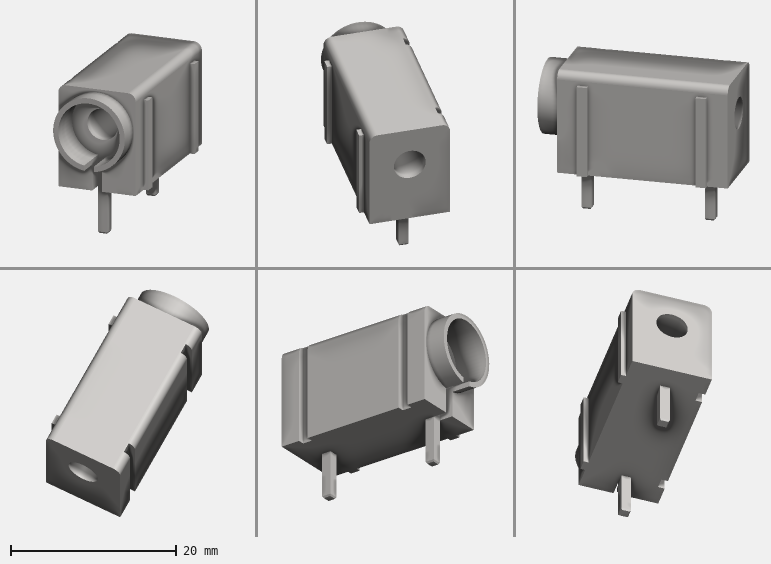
import cadquery as cq

body_width = 10.1
body_length = 21.4
body_height = 13.0
top_edge_radius = 1.0

total_length = 24
barrel_length = total_length - body_length
barrel_radius = 4.68
bore_radius = 4.0
through_hole_radius = 2.0
axis_height = body_height - body_width / 2

pin_size = 1.25
pin_length = 6
front_pin_setback = 1.85
pin_pitch = 15.48
tip_chamfer_height = 0.22
tip_chamfer_inset = 0.15
slit_width = pin_size
bore_depth = front_pin_setback

joint_end_offset = 2.6
joint_width = 1.3
groove_depth = 0.85
rail_projection = 0.6
rail_height = body_height - 1.54


def corner_box(x_size, y_size, z_size, corner):
    """Box extending in +X, +Y and +Z from its lowest corner."""
    return cq.Workplane("XY").box(x_size, y_size, z_size, centered=False).translate(corner)


def axial_cylinder(radius, start_y, end_y):
    """Cylinder along the socket axis."""
    return (
        cq.Workplane("XZ", origin=(0, start_y, axis_height))
        .circle(radius)
        .extrude(start_y - end_y)
    )


def solder_pin(setback):
    """Square pin below the housing, with a chamfered tip."""
    shank_length = pin_length - tip_chamfer_height
    tip_size = pin_size - 2 * tip_chamfer_inset
    centre_y = setback + pin_size / 2
    shank = corner_box(pin_size, pin_size, shank_length, (-pin_size / 2, setback, -shank_length))
    tip = (
        cq.Workplane("XY", origin=(0, centre_y, -pin_length))
        .rect(tip_size, tip_size)
        .workplane(offset=tip_chamfer_height)
        .rect(pin_size, pin_size)
        .loft(ruled=True)
    )
    return shank.union(tip)


result = corner_box(body_width, body_length, body_height, (-body_width / 2, 0, 0))
result = result.edges("|Y and >Z").fillet(top_edge_radius)
result = result.union(axial_cylinder(barrel_radius, -barrel_length, 0))

result = result.cut(axial_cylinder(bore_radius, -barrel_length, bore_depth))
result = result.cut(axial_cylinder(through_hole_radius, -barrel_length, body_length))
slit_length = barrel_length + bore_depth
slit = corner_box(slit_width, slit_length, axis_height, (-slit_width / 2, -barrel_length, 0))
result = result.cut(slit)

for joint_y in (joint_end_offset, body_length - joint_end_offset - joint_width):
    groove = corner_box(groove_depth, joint_width, body_height, (-body_width / 2, joint_y, 0))
    rail = corner_box(rail_projection, joint_width, rail_height, (body_width / 2, joint_y, 0))
    result = result.cut(groove).union(rail)

for pin_y in (front_pin_setback, front_pin_setback + pin_pitch):
    result = result.union(solder_pin(pin_y))